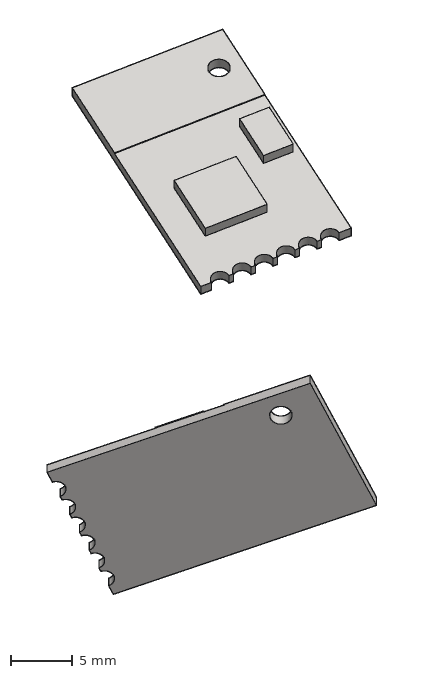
import cadquery as cq

BOARD_LENGTH = 23.3
BOARD_WIDTH = 13.7
BOARD_THICKNESS = 1.0
OVERALL_HEIGHT = 2.0

RAISED_LENGTH = 7.67
RAISED_THICKNESS = 1.1

HOLE_DIAMETER = 1.82
HOLE_X = 3.5
HOLE_FROM_BACK = 2.1

NOTCH_COUNT = 6
NOTCH_PITCH = 2.0
NOTCH_RADIUS = 0.8
NOTCH_ROW_OFFSET = -0.07

SMALL_CHIP_X = 9.7
SMALL_CHIP_FROM_BACK = 0.63
SMALL_CHIP_LENGTH = 4.33
SMALL_CHIP_WIDTH = 2.7

LARGE_CHIP_X = 13.1
LARGE_CHIP_FROM_BACK = 5.35
LARGE_CHIP_SIDE = 5.65


def corner_box(length, width, height):
    """Box with its minimum corner at the origin."""
    return cq.Workplane("XY").box(length, width, height, centered=False)


def make_board():
    """Flat board with the thicker area at its -X end."""
    board = corner_box(BOARD_LENGTH, BOARD_WIDTH, BOARD_THICKNESS)
    raised_area = corner_box(RAISED_LENGTH, BOARD_WIDTH, RAISED_THICKNESS)
    return board.union(raised_area)


def make_hole():
    """Cutter for the round through hole."""
    return (
        cq.Workplane("XY")
        .center(HOLE_X, BOARD_WIDTH - HOLE_FROM_BACK)
        .circle(HOLE_DIAMETER / 2)
        .extrude(RAISED_THICKNESS)
    )


def make_notches():
    """Cutters for the row of notches, centred on the +X edge."""
    return (
        cq.Workplane("XY")
        .center(BOARD_LENGTH, BOARD_WIDTH / 2 + NOTCH_ROW_OFFSET)
        .rarray(0.23, NOTCH_PITCH, 1, NOTCH_COUNT)
        .circle(NOTCH_RADIUS)
        .extrude(BOARD_THICKNESS)
    )


def make_chip(left_x, from_back, length, width):
    """Rectangular component standing on the lower board surface."""
    front_y = BOARD_WIDTH - from_back - width
    chip = corner_box(length, width, OVERALL_HEIGHT - BOARD_THICKNESS)
    return chip.translate((left_x, front_y, BOARD_THICKNESS))


board = make_board().cut(make_hole()).cut(make_notches())
small_chip = make_chip(SMALL_CHIP_X, SMALL_CHIP_FROM_BACK, SMALL_CHIP_LENGTH, SMALL_CHIP_WIDTH)
large_chip = make_chip(LARGE_CHIP_X, LARGE_CHIP_FROM_BACK, LARGE_CHIP_SIDE, LARGE_CHIP_SIDE)

result = board.union(small_chip).union(large_chip)